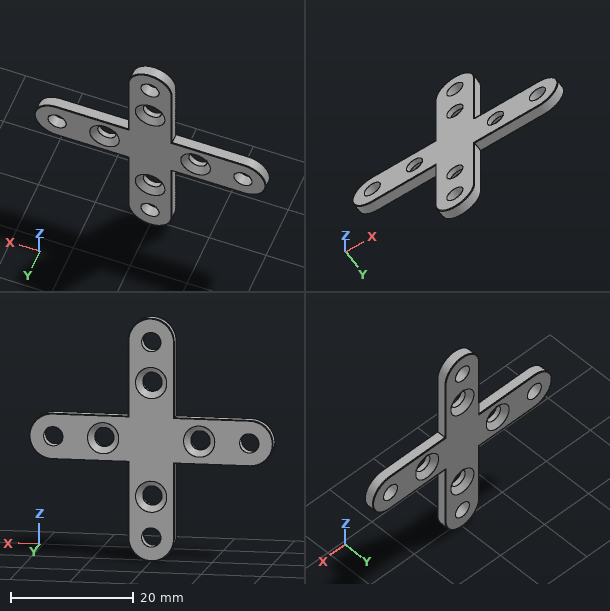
import cadquery as cq

span = 40.6
thickness = 2.0
arm_width = 7.67
edge_chamfer = 0.12

hole_diameter = 3.15
outer_hole_offset = 16.32
inner_hole_offset_x = 8.0
inner_hole_offset_z = 9.5

countersink_depth = 1.0
countersink_radius = hole_diameter / 2 + countersink_depth


def mid_plane():
    """Workplane on the plate's mid-plane, with local axes X and Z."""
    return cq.Workplane("XZ")


def rounded_bar(angle):
    """Full-length bar with round ends, turned about the plate's normal."""
    return mid_plane().slot2D(span, arm_width, angle).extrude(thickness / 2, both=True)


def mirrored_centres(offset_x, offset_z):
    """One centre on each of the four arms, mirrored about the middle."""
    return [(-offset_x, 0), (offset_x, 0), (0, -offset_z), (0, offset_z)]


def through_holes(centres):
    """Cylinders passing right through the plate."""
    return mid_plane().pushPoints(centres).circle(hole_diameter / 2).extrude(thickness, both=True)


def countersinks(centres):
    """Cones with their wide end on the plate's +Y face."""
    solids = mid_plane()
    for x, z in centres:
        cone = cq.Solid.makeCone(
            countersink_radius,
            hole_diameter / 2,
            countersink_depth,
            pnt=cq.Vector(x, thickness / 2, z),
            dir=cq.Vector(0, -1, 0),
        )
        solids = solids.add(cone)
    return solids.combine()


cross = rounded_bar(0).union(rounded_bar(90))
cross = cross.faces("<Y or >Y").edges().chamfer(edge_chamfer)

inner_centres = mirrored_centres(inner_hole_offset_x, inner_hole_offset_z)
outer_centres = mirrored_centres(outer_hole_offset, outer_hole_offset)

result = cross.cut(through_holes(inner_centres + outer_centres)).cut(countersinks(inner_centres))